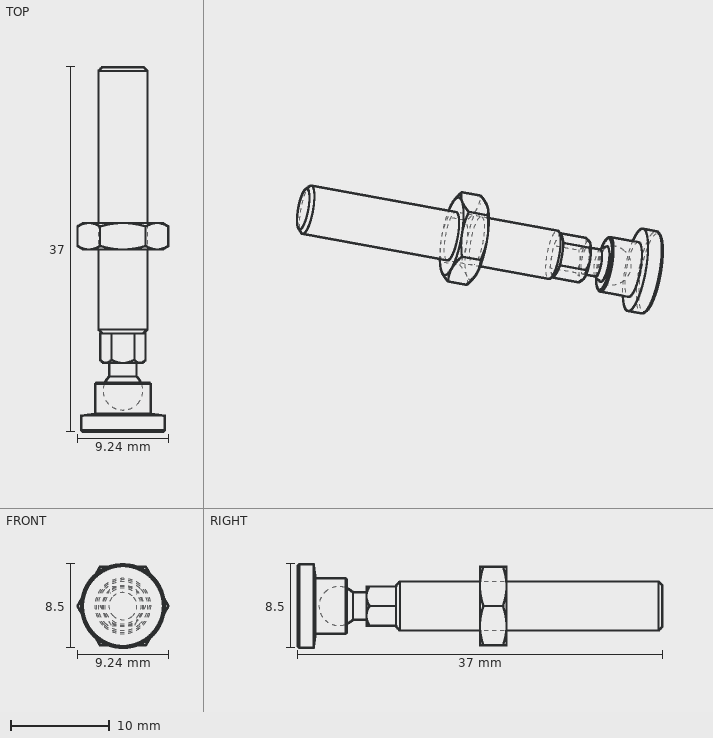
import cadquery as cq
import math

TOTAL_LENGTH = 37.0
FOOT_FACE_Y = -TOTAL_LENGTH / 2

FLANGE_DIAMETER = 8.5
FLANGE_RIM_HEIGHT = 1.65
FLANGE_EDGE_CHAMFER = 0.2
COLLAR_DIAMETER = 5.65
COLLAR_BASE_HEIGHT = 1.85
FOOT_HEIGHT = 5.0
COLLAR_CHAMFER = 0.15

BALL_DIAMETER = 4.0
BALL_CENTRE_HEIGHT = 4.2
NECK_DIAMETER = 2.8
WRENCH_START_HEIGHT = 7.0
WRENCH_END_HEIGHT = 10.0
WRENCH_ACROSS_FLATS = 4.0
WRENCH_CHAMFER = 0.3
THREAD_DIAMETER = 5.0
THREAD_CHAMFER = 0.4

NUT_ACROSS_FLATS = 8.0
NUT_THICKNESS = 2.7
NUT_START_HEIGHT = 18.5
NUT_CHAMFER_WIDTH = 0.62
NUT_CHAMFER_ANGLE = 30.0


def revolve_profile(points):
    """Solid of revolution about the Y axis from (radius, height above the foot face) points."""
    profile = cq.Workplane("XY", origin=(0, FOOT_FACE_Y, 0)).polyline(points).close()
    return profile.revolve(360, (0, 0, 0), (0, 1, 0))


def hexagon_diameter(across_flats):
    """Distance across the corners of a regular hexagon."""
    return across_flats / math.cos(math.radians(30))


def hexagon_prism(across_flats, start_height, length):
    """Hexagonal prism along +Y with two corners on the X axis."""
    base = cq.Workplane("XZ", origin=(0, FOOT_FACE_Y + start_height, 0))
    return base.polygon(6, hexagon_diameter(across_flats)).extrude(-length)


def ball():
    centre_y = FOOT_FACE_Y + BALL_CENTRE_HEIGHT
    return cq.Workplane("XZ", origin=(0, centre_y, 0)).sphere(BALL_DIAMETER / 2)


def make_foot():
    """Flanged foot with a spherical socket that holds the ball."""
    flange_radius = FLANGE_DIAMETER / 2
    collar_radius = COLLAR_DIAMETER / 2
    body = revolve_profile([
        (0, 0),
        (flange_radius - FLANGE_EDGE_CHAMFER, 0),
        (flange_radius, FLANGE_EDGE_CHAMFER),
        (flange_radius, FLANGE_RIM_HEIGHT),
        (collar_radius, COLLAR_BASE_HEIGHT),
        (collar_radius, FOOT_HEIGHT - COLLAR_CHAMFER),
        (collar_radius - COLLAR_CHAMFER, FOOT_HEIGHT),
        (0, FOOT_HEIGHT),
    ])
    return body.cut(ball())


def make_wrench_section():
    """Hexagon for a wrench, its corners chamfered at the neck end."""
    length = WRENCH_END_HEIGHT - WRENCH_START_HEIGHT
    corner_radius = hexagon_diameter(WRENCH_ACROSS_FLATS) / 2
    envelope = revolve_profile([
        (0, WRENCH_START_HEIGHT),
        (corner_radius - WRENCH_CHAMFER, WRENCH_START_HEIGHT),
        (corner_radius, WRENCH_START_HEIGHT + WRENCH_CHAMFER),
        (corner_radius, WRENCH_END_HEIGHT),
        (0, WRENCH_END_HEIGHT),
    ])
    return hexagon_prism(WRENCH_ACROSS_FLATS, WRENCH_START_HEIGHT, length).intersect(envelope)


def make_stud():
    """Threaded rod, wrench hexagon, neck and ball in one piece."""
    neck_radius = NECK_DIAMETER / 2
    thread_radius = THREAD_DIAMETER / 2
    neck = revolve_profile([
        (0, BALL_CENTRE_HEIGHT),
        (neck_radius, BALL_CENTRE_HEIGHT),
        (neck_radius, WRENCH_START_HEIGHT),
        (0, WRENCH_START_HEIGHT),
    ])
    rod = revolve_profile([
        (0, WRENCH_END_HEIGHT),
        (thread_radius - THREAD_CHAMFER, WRENCH_END_HEIGHT),
        (thread_radius, WRENCH_END_HEIGHT + THREAD_CHAMFER),
        (thread_radius, TOTAL_LENGTH - THREAD_CHAMFER),
        (thread_radius - THREAD_CHAMFER, TOTAL_LENGTH),
        (0, TOTAL_LENGTH),
    ])
    return ball().union(neck).union(make_wrench_section()).union(rod)


def make_nut():
    """Hexagon nut with chamfered corners on both faces and a bore that fits the rod."""
    end_height = NUT_START_HEIGHT + NUT_THICKNESS
    corner_radius = hexagon_diameter(NUT_ACROSS_FLATS) / 2
    face_radius = corner_radius - NUT_CHAMFER_WIDTH
    bore_radius = THREAD_DIAMETER / 2
    chamfer_length = NUT_CHAMFER_WIDTH * math.tan(math.radians(NUT_CHAMFER_ANGLE))
    envelope = revolve_profile([
        (bore_radius, NUT_START_HEIGHT),
        (face_radius, NUT_START_HEIGHT),
        (corner_radius, NUT_START_HEIGHT + chamfer_length),
        (corner_radius, end_height - chamfer_length),
        (face_radius, end_height),
        (bore_radius, end_height),
    ])
    return hexagon_prism(NUT_ACROSS_FLATS, NUT_START_HEIGHT, NUT_THICKNESS).intersect(envelope)


foot = make_foot()
stud = make_stud()
nut = make_nut()

result = cq.Compound.makeCompound([foot.val(), stud.val(), nut.val()])